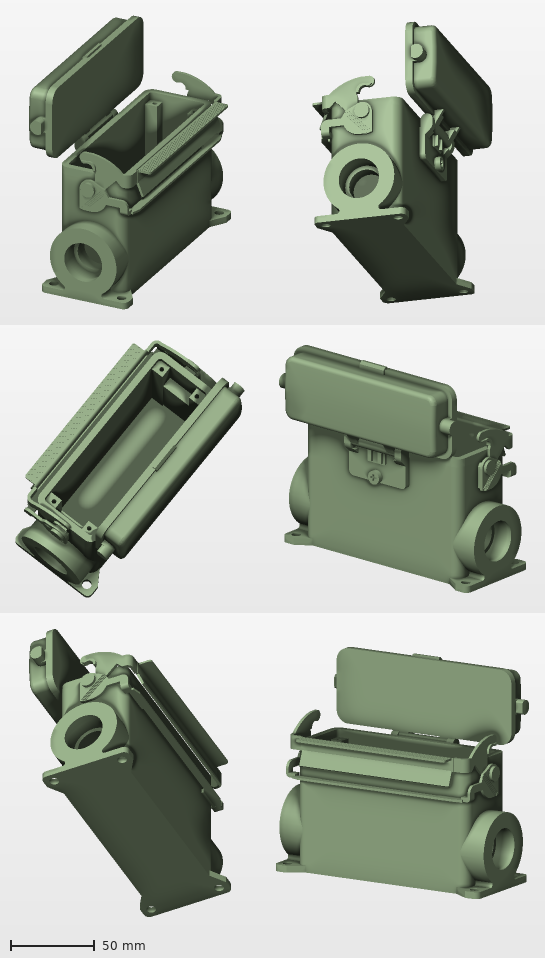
import cadquery as cq
import math

overall_length = 144.0
overall_height = 129.73
seam = 0.01

housing_width = 44.7
housing_length = 120.4
housing_height = 80.0
housing_corner = 6.0
rim_height = 5.0
rim_taper = 1.0
cavity_width = 36.4
cavity_length = 111.8
cavity_corner = 2.0
floor_thickness = 4.2
post_width = 8.0
post_length = 7.5
post_top = 75.0
post_hole_diameter = 2.8
post_hole_depth = 12.0
post_hole_x = 13.4
post_hole_y = 51.9
inlet_block_top = 50.0
inlet_block_lengths = {1: 7.5, -1: 6.6}

flange_width = 57.4
flange_thickness = 4.2
flange_corner = 3.4
ear_straight = 9.0
ear_length = 18.9
mount_hole_diameter = 5.8
mount_hole_x = 22.6
mount_hole_inset = 6.1

inlet_z = 25.5
inlet_radius = 22.2
inlet_bore_diameter = 25.2
inlet_bore_depth = 13.0
inlet_knockout_diameter = 20.2
inlet_knockout_depth = 9.0
neck_half_width = 12.5
neck_waist = 12.3
neck_foot = 13.6

hinge_x = -26.8
hinge_z = 78.1
hinge_radius = 3.8
bracket_half_width = 22.0
bracket_bottom = 53.6
bracket_face_x = -26.0
bracket_corner = 3.2
knuckle_inner_y = 17.2
knuckle_ramp_inner_y = 14.7
knuckle_ramp_bottom = 68.6
knuckle_ramp_middle = (-29.3, 71.9)
knuckle_ramp_round = (-30.3, 73.6)
knuckle_ramp_top = 75.2
roller_back_x = -24.3
roller_drop = 0.7
bracket_gap_bottom = 73.6
arm_inner_y = 14.7
hub_inner_y = 11.0
hub_top = 82.4
arm_outer_x = -36.0
arm_toe = (-30.6, 76.4)
clip_half_width = 6.9
clip_bottom = 66.0
clip_top = 73.8
clip_plate_thickness = 1.1
clip_corner = 1.0
clip_rib_y = 3.9
clip_rib_width = 2.8
clip_rib_height = 2.8
clip_rib_bottom = 67.0
screw_z = 57.4
screw_radius = 4.25
screw_head_height = 2.9
washer_radius = 4.0
washer_thickness = 0.8
cross_length = 4.4
cross_width = 1.3
cross_depth = 1.2

lid_front_x = -44.1
lid_edge_x = -43.0
lid_rim_x = -30.2
lid_back_x = -25.8
lid_rim_length = 123.2
lid_rim_bottom = 82.0
lid_rim_top = 128.2
lid_rim_corner = 8.0
lid_body_length = 116.7
lid_body_bottom = 85.3
lid_body_top = 125.2
lid_body_corner = 5.4
lid_edge_fillet = 2.9
catch_width = 18.6
catch_front_x = -31.4
catch_back_x = -28.0
catch_chamfer = 1.6
peg_x = -33.8
peg_radius = 4.5
peg_flat_x = -30.8
peg_tip_y = 66.4
peg_flat_fillet = 1.2

pivot_z = 70.9
pivot_pin_radius = 2.6
pivot_head_radius = 4.55
pivot_head_y = 66.8
pivot_embed = 1.0
inner_arm_y = (61.2, 63.1)
outer_arm_y = (63.1, 64.9)
hook_rib_y = (63.1, 64.4)
hook_top_z = 93.7
hook_tip = (-6.8, 90.6)
hook_lip = (-2.0, 87.4)
hook_mouth_middle = (1.2, 86.8)
hook_mouth_end = (2.5, 83.6)
hook_rib_tip = (-5.5, 88.6)
arm_front_x = 3.5
arm_end_x = 23.3
arm_shoulder_x = 21.6
arm_notch = (17.6, 79.6)
arm_lower_z = 58.4
arm_lower_front_x = -5.5
spring_arm_radius = 5.9
spring_arm_bottom = 56.5
spring_arm_z = (63.1, 67.8)
lever_web_x = (25.0, 27.0)
lever_web_z = (75.9, 84.3)
lever_bend = 4.0
handle_web_x = (25.7, 27.3)
handle_web_half_length = 53.6
handle_web_fillet = 1.5
handle_half_length = 52.7
handle_end_x = 35.5
handle_thickness = 1.4
handle_corner = 1.5
groove_pitch = 0.7
groove_depth = 0.1
groove_start_x = 28.2
skirt_start = (26.3, 75.9)
skirt_end = (30.8, 66.7)
skirt_thickness = 1.3
foot_x = (20.9, 26.0)
foot_z = (58.0, 60.7)
foot_inner_y = 58.5
foot_fillet = 2.6
tie_bar_x = (24.8, 29.0)
tie_bar_end_x = (23.8, 27.2)
tie_bar_half_length = 60.0
tie_bar_taper_start_y = 54.4
tie_bar_wide_y = 42.0
tie_bar_step = 1.0
spring_x = (22.5, 23.8)
spring_y = (42.2, 58.0)
spring_z = (56.6, 59.4)
tie_bar_thickness = 1.4
crease_angle = 45.0
crease_length = 22.0
crease_width = 0.5
crease_pitch = 1.0
crease_count = 4
crease_depth = 0.5
crease_center = (3.9, 64.9)


def block(x, y, z):
    """Box between (min, max) pairs along each axis."""
    size = (x[1] - x[0], y[1] - y[0], z[1] - z[0])
    return cq.Workplane("XY").box(*size, centered=False).translate((x[0], y[0], z[0]))


def cylinder_y(x, z, radius, y_start, y_end):
    """Cylinder along Y."""
    plane = cq.Workplane("XZ", origin=(x, y_start, z))
    return plane.circle(radius).extrude(y_start - y_end)


def slab_y(outline, y_start, y_end):
    """Sketch in the XZ plane, given as a function of a workplane, made into a slab along Y."""
    return outline(cq.Workplane("XZ", origin=(0, y_start, 0))).extrude(y_start - y_end)


def both_ends(shape):
    """Shape together with its mirror image across Y = 0."""
    return shape.union(shape.mirror("XZ"))


def rounded_plate_x(length, z_bottom, z_top, corner, x_start, x_end):
    """Plate standing across X, with rounded corners in the YZ plane."""
    plate = block((x_start, x_end), (-length / 2, length / 2), (z_bottom, z_top))
    return plate.edges("|X").fillet(corner)


def make_flange():
    half_width = flange_width / 2
    half_length = overall_length / 2
    ear = (
        cq.Workplane("XY")
        .moveTo(-half_width, half_length)
        .lineTo(half_width, half_length)
        .lineTo(half_width, half_length - ear_straight)
        .lineTo(housing_width / 2, half_length - ear_length)
        .lineTo(-housing_width / 2, half_length - ear_length)
        .lineTo(-half_width, half_length - ear_straight)
        .close()
        .extrude(flange_thickness)
        .edges("|Z and >Y")
        .fillet(flange_corner)
    )
    middle = cq.Workplane("XY").box(
        housing_width, overall_length - 2 * ear_length, flange_thickness, centered=(True, True, False)
    )
    hole_y = half_length - mount_hole_inset
    holes = (
        cq.Workplane("XY")
        .rect(2 * mount_hole_x, 2 * hole_y, forConstruction=True)
        .vertices()
        .circle(mount_hole_diameter / 2)
        .extrude(flange_thickness)
    )
    return both_ends(ear).union(middle).cut(holes)


def make_inlets():
    half_length = overall_length / 2
    barrel = cylinder_y(0, inlet_z, inlet_radius, -half_length, half_length)
    neck_top = inlet_z - math.sqrt(inlet_radius**2 - neck_half_width**2)
    waist_z = (neck_top + flange_thickness) / 2

    def neck_outline(plane):
        return (
            plane.moveTo(-neck_half_width, neck_top)
            .threePointArc((-neck_waist, waist_z), (-neck_foot, flange_thickness))
            .lineTo(-neck_foot, 0)
            .lineTo(neck_foot, 0)
            .lineTo(neck_foot, flange_thickness)
            .threePointArc((neck_waist, waist_z), (neck_half_width, neck_top))
            .close()
        )

    return barrel.union(slab_y(neck_outline, -half_length, half_length))


def make_housing():
    straight_height = housing_height - rim_height
    shell = (
        cq.Workplane("XY")
        .rect(housing_width, housing_length)
        .extrude(straight_height)
        .edges("|Z")
        .fillet(housing_corner)
    )
    rim = shell.faces(">Z").wires().toPending().extrude(rim_height, combine=False, taper=rim_taper)
    outside = shell.union(rim).union(make_flange()).union(make_inlets())

    cavity = (
        cq.Workplane("XY", origin=(0, 0, floor_thickness))
        .rect(cavity_width, cavity_length)
        .extrude(housing_height)
        .edges("|Z")
        .fillet(cavity_corner)
    )
    half_cavity = cavity_length / 2
    end_span = (half_cavity - post_length, half_cavity)
    posts = cq.Workplane("XY")
    for side in (-1, 1):
        x_span = sorted((side * cavity_width / 2, side * (cavity_width / 2 - post_width)))
        post = block(x_span, end_span, (0, post_top))
        hole = (
            cq.Workplane("XY", origin=(side * post_hole_x, post_hole_y, post_top))
            .circle(post_hole_diameter / 2)
            .extrude(-post_hole_depth)
        )
        posts = posts.union(post.cut(hole))
    kept = both_ends(posts)
    for end, length in inlet_block_lengths.items():
        y_span = sorted((end * half_cavity, end * (half_cavity - length)))
        inner_half = cavity_width / 2 - post_width
        kept = kept.union(block((-inner_half, inner_half), y_span, (0, inlet_block_top)))
    housing = outside.cut(cavity.cut(kept))

    end_y = overall_length / 2
    step_y = end_y - inlet_bore_depth
    bore = cylinder_y(0, inlet_z, inlet_bore_diameter / 2, step_y, end_y)
    knockout = cylinder_y(0, inlet_z, inlet_knockout_diameter / 2, step_y - inlet_knockout_depth, step_y)
    return housing.cut(both_ends(bore.union(knockout)))


def make_screw():
    face = cq.Workplane("YZ", origin=(bracket_face_x, 0, screw_z))
    washer = face.circle(washer_radius).extrude(-washer_thickness)
    head_base = bracket_face_x - washer_thickness
    head = (
        cq.Workplane("YZ", origin=(head_base, 0, screw_z))
        .circle(screw_radius)
        .extrude(-screw_head_height)
    )
    head_face = cq.Workplane("YZ", origin=(head_base - screw_head_height, 0, screw_z))
    for size in ((cross_length, cross_width), (cross_width, cross_length)):
        head = head.cut(head_face.rect(*size).extrude(cross_depth))
    return washer.union(head)


def make_clip():
    plate = rounded_plate_x(
        2 * clip_half_width, clip_bottom, clip_top, clip_corner,
        bracket_face_x - clip_plate_thickness, bracket_face_x,
    )
    rib = block(
        (bracket_face_x - clip_rib_height, bracket_face_x),
        (clip_rib_y - clip_rib_width / 2, clip_rib_y + clip_rib_width / 2),
        (clip_rib_bottom, clip_top),
    )
    return plate.union(both_ends(rib))


def make_bracket():
    wall_x = -housing_width / 2
    plate = block(
        (bracket_face_x, wall_x), (-bracket_half_width, bracket_half_width), (bracket_bottom, hinge_z)
    )
    plate = plate.edges("|X and <Z").fillet(bracket_corner)

    def ramp_outline(plane):
        return (
            plane.moveTo(bracket_face_x, knuckle_ramp_bottom)
            .lineTo(*knuckle_ramp_middle)
            .threePointArc(knuckle_ramp_round, (hinge_x - hinge_radius, knuckle_ramp_top))
            .lineTo(hinge_x - hinge_radius, hinge_z)
            .lineTo(bracket_face_x, hinge_z)
            .close()
        )

    ramp = slab_y(ramp_outline, knuckle_inner_y, bracket_half_width)
    toe = slab_y(ramp_outline, knuckle_ramp_inner_y, knuckle_inner_y)
    toe = toe.intersect(
        block((hinge_x - hinge_radius, wall_x), (0, bracket_half_width), (0, knuckle_ramp_middle[1]))
    )
    knuckle = cylinder_y(hinge_x, hinge_z, hinge_radius, knuckle_inner_y, bracket_half_width)
    roller = cylinder_y(hinge_x, hinge_z - roller_drop, hinge_radius, -knuckle_inner_y, knuckle_inner_y)
    roller = roller.intersect(
        block(
            (hinge_x - hinge_radius, roller_back_x),
            (-knuckle_inner_y, knuckle_inner_y),
            (0, overall_height),
        )
    )
    gap = block(
        (hinge_x + hinge_radius, wall_x),
        (-bracket_half_width, bracket_half_width),
        (bracket_gap_bottom, hinge_z),
    )
    bracket = plate.cut(gap).union(both_ends(ramp.union(toe).union(knuckle))).union(roller)
    return bracket.union(make_clip()).union(make_screw())


def make_lid_arms():
    def arm_outline(plane):
        return (
            plane.moveTo(arm_outer_x, lid_body_bottom)
            .lineTo(*arm_toe)
            .lineTo(hinge_x, hinge_z - hinge_radius)
            .lineTo(lid_back_x, hinge_z)
            .lineTo(lid_back_x, lid_body_bottom)
            .close()
        )

    arm = slab_y(arm_outline, arm_inner_y, knuckle_inner_y)
    hub = slab_y(arm_outline, hub_inner_y, arm_inner_y)
    hub = hub.intersect(block((arm_outer_x, lid_back_x), (0, bracket_half_width), (0, hub_top)))
    return both_ends(arm.union(hub))


def make_lid():
    rim = rounded_plate_x(
        lid_rim_length, lid_rim_bottom, lid_rim_top, lid_rim_corner, lid_rim_x, lid_back_x
    )
    body = rounded_plate_x(
        lid_body_length, lid_body_bottom, lid_body_top, lid_body_corner, lid_front_x, lid_rim_x
    )

    def bulge_outline(plane):
        middle_z = (lid_body_bottom + lid_body_top) / 2
        return (
            plane.moveTo(lid_rim_x, lid_body_bottom)
            .lineTo(lid_edge_x, lid_body_bottom)
            .threePointArc((lid_front_x, middle_z), (lid_edge_x, lid_body_top))
            .lineTo(lid_rim_x, lid_body_top)
            .close()
        )

    bulge = slab_y(bulge_outline, -lid_body_length / 2, lid_body_length / 2)
    body = body.intersect(bulge).faces("<X").edges().fillet(lid_edge_fillet)

    catch = block(
        (catch_front_x, catch_back_x), (-catch_width / 2, catch_width / 2), (lid_body_top, overall_height)
    )
    catch = catch.edges("|Y and >Z and <X").chamfer(catch_chamfer)

    peg_z = (lid_rim_bottom + lid_rim_top) / 2
    peg = cylinder_y(peg_x, peg_z, peg_radius, 0, peg_tip_y)
    peg = peg.intersect(block((lid_front_x, peg_flat_x), (0, peg_tip_y), (0, overall_height)))
    peg = peg.edges("|Y").fillet(peg_flat_fillet)
    lug = block(
        (peg_x, lid_rim_x), (0, lid_rim_length / 2), (peg_z - peg_radius, peg_z + peg_radius)
    )
    return rim.union(body).union(catch).union(both_ends(peg.union(lug))).union(make_lid_arms())


def inner_arm_outline(plane):
    """Hooked locking arm around the pivot, with a 45 degree lower edge."""
    notch_x, notch_z = arm_notch
    return (
        plane.moveTo(arm_front_x, 74.0)
        .lineTo(arm_front_x, 80.7)
        .lineTo(4.5, hook_mouth_end[1])
        .lineTo(*hook_mouth_end)
        .threePointArc(hook_mouth_middle, hook_lip)
        .threePointArc(hook_tip, (-2.9, hook_top_z))
        .lineTo(1.7, hook_top_z)
        .threePointArc((12.5, 90.6), (arm_shoulder_x, lever_web_z[1]))
        .lineTo(arm_end_x, lever_web_z[1])
        .lineTo(arm_end_x, lever_web_z[0])
        .lineTo(21.2, lever_web_z[0])
        .lineTo(notch_x, notch_z)
        .lineTo(notch_x - (notch_z - arm_lower_z), arm_lower_z)
        .lineTo(arm_lower_front_x, arm_lower_z)
        .lineTo(arm_lower_front_x, 72.0)
        .lineTo(-4.0, 74.0)
        .close()
    )


def hook_rib_outline(plane):
    """Raised band along the mouth of the hook."""
    return (
        plane.moveTo(*hook_rib_tip)
        .lineTo(-1.7, hook_rib_tip[1])
        .threePointArc((2.6, 88.0), (4.1, hook_mouth_end[1]))
        .lineTo(*hook_mouth_end)
        .threePointArc(hook_mouth_middle, hook_lip)
        .threePointArc((-4.0, 87.3), hook_rib_tip)
        .close()
    )


def outer_arm_outline(plane):
    """Spring arm around the pivot, reaching over to its foot."""
    return (
        plane.moveTo(-spring_arm_radius, 57.4)
        .lineTo(-spring_arm_radius, pivot_z)
        .threePointArc((0, pivot_z + spring_arm_radius), (4.1, 75.6))
        .lineTo(10.6, 72.4)
        .lineTo(13.3, spring_arm_z[1])
        .lineTo(22.3, spring_arm_z[1])
        .threePointArc((25.0, 66.2), (foot_x[1], 62.5))
        .lineTo(foot_x[1], foot_z[1])
        .lineTo(foot_x[0], foot_z[1])
        .lineTo(foot_x[0], spring_arm_z[0])
        .lineTo(11.7, spring_arm_z[0])
        .threePointArc((8.0, 58.4), (2.6, spring_arm_bottom))
        .lineTo(-3.2, spring_arm_bottom)
        .close()
    )


def make_handle():
    top = lever_web_z[1]
    grip = block(
        (handle_web_x[1] - seam, handle_end_x),
        (-handle_half_length, handle_half_length),
        (top - handle_thickness, top),
    )
    grip = grip.edges("|Z and >X").fillet(handle_corner)
    groove_count = int((handle_end_x - groove_start_x) / groove_pitch)
    for index in range(groove_count):
        x = handle_end_x - (index + 1) * groove_pitch
        groove = block(
            (x - groove_pitch / 4, x + groove_pitch / 4),
            (-handle_half_length, handle_half_length),
            (top - groove_depth, top),
        )
        grip = grip.cut(groove)

    def skirt_outline(plane):
        (x0, z0), (x1, z1) = skirt_start, skirt_end
        return (
            plane.moveTo(x0 - skirt_thickness, z0 + skirt_thickness)
            .lineTo(x0 - skirt_thickness / 2, z0)
            .lineTo(x1 - skirt_thickness, z1)
            .lineTo(x1, z1 + skirt_thickness / 2)
            .lineTo(x0 + skirt_thickness / 2, z0 + skirt_thickness)
            .close()
        )

    return grip.union(slab_y(skirt_outline, -handle_half_length, handle_half_length))


def make_lever_web():
    """Rounded bend from each arm into the cross wall that carries the handle."""
    outer_y = inner_arm_y[1]
    inner_y = inner_arm_y[0]
    thickness = lever_web_x[1] - lever_web_x[0]
    start_x = lever_web_x[1] - lever_bend - seam
    outer = block((start_x, lever_web_x[1]), (-outer_y, outer_y), lever_web_z)
    outer = outer.edges("|Z and >X").fillet(lever_bend)
    inner = block((start_x, lever_web_x[0]), (-inner_y, inner_y), lever_web_z)
    inner = inner.edges("|Z and >X").fillet(lever_bend - thickness)
    middle_y = (-handle_web_half_length, handle_web_half_length)
    bends = outer.cut(inner).cut(block((start_x, lever_web_x[1]), middle_y, lever_web_z))
    wall = block(handle_web_x, middle_y, lever_web_z)
    wall = wall.edges("|Y and >Z and <X").fillet(handle_web_fillet)
    return bends.union(wall)


def make_creases():
    """Parallel slanted creases in the outer face of the spring arm."""
    creases = None
    for index in range(crease_count):
        offset = (index - (crease_count - 1) / 2) * crease_pitch
        crease = cq.Workplane("XY").box(crease_length, 2 * crease_depth, crease_width)
        crease = crease.translate((0, 0, offset)).rotate((0, 0, 0), (0, 1, 0), -crease_angle)
        crease = crease.translate((crease_center[0], outer_arm_y[1], crease_center[1]))
        creases = crease if creases is None else creases.union(crease)
    return creases


def make_tie_bar():
    """Flat bar joining the feet, with the spring end on its +Y side."""
    half = (
        cq.Workplane("XY", origin=(0, 0, foot_z[0]))
        .moveTo(tie_bar_x[0], 0)
        .lineTo(tie_bar_x[1], 0)
        .lineTo(tie_bar_x[1], tie_bar_taper_start_y)
        .lineTo(tie_bar_end_x[1], tie_bar_half_length)
        .lineTo(tie_bar_end_x[0], tie_bar_half_length)
        .lineTo(tie_bar_end_x[0], tie_bar_wide_y)
        .lineTo(tie_bar_x[0], tie_bar_wide_y - tie_bar_step)
        .close()
        .extrude(tie_bar_thickness)
    )
    return both_ends(half).union(block(spring_x, spring_y, spring_z))


def make_lever():
    inner_arm = slab_y(inner_arm_outline, *inner_arm_y)
    outer_arm = slab_y(outer_arm_outline, *outer_arm_y).cut(make_creases())
    hook_rib = slab_y(hook_rib_outline, *hook_rib_y)
    pin = cylinder_y(0, pivot_z, pivot_pin_radius, housing_length / 2 - pivot_embed, pivot_head_y)
    head = cylinder_y(0, pivot_z, pivot_head_radius, outer_arm_y[1], pivot_head_y)
    foot = block(foot_x, (foot_inner_y, outer_arm_y[1]), foot_z)
    foot = foot.edges("|X and <Z and >Y").fillet(foot_fillet)
    ends = both_ends(inner_arm.union(hook_rib).union(outer_arm).union(pin).union(head).union(foot))
    return ends.union(make_lever_web()).union(make_handle()).union(make_tie_bar())


result = make_housing().union(make_bracket()).union(make_lid()).union(make_lever())